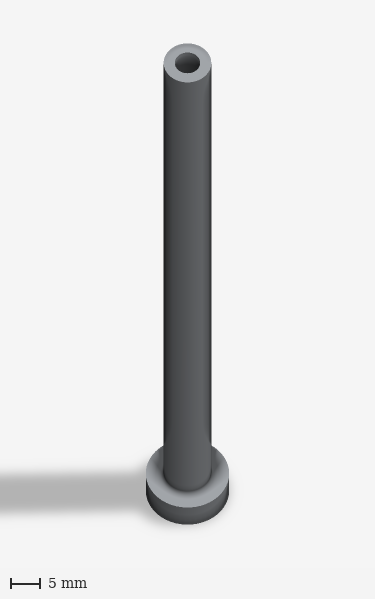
import cadquery as cq

total_length = 125.0
head_diameter = 14.0
head_height = 5.0
shaft_diameter = 8.0
bore_diameter = 4.2
neck_fillet_radius = 0.5

head = cq.Workplane("XY").circle(head_diameter / 2).extrude(head_height)
shaft = cq.Workplane("XY").circle(shaft_diameter / 2).extrude(total_length)
body = head.union(shaft)

neck_edge = cq.selectors.RadiusNthSelector(0)
body = body.faces(cq.selectors.NearestToPointSelector((0, 0, head_height))).edges(neck_edge)
body = body.fillet(neck_fillet_radius)

bore = cq.Workplane("XY").circle(bore_diameter / 2).extrude(total_length)
result = body.cut(bore)